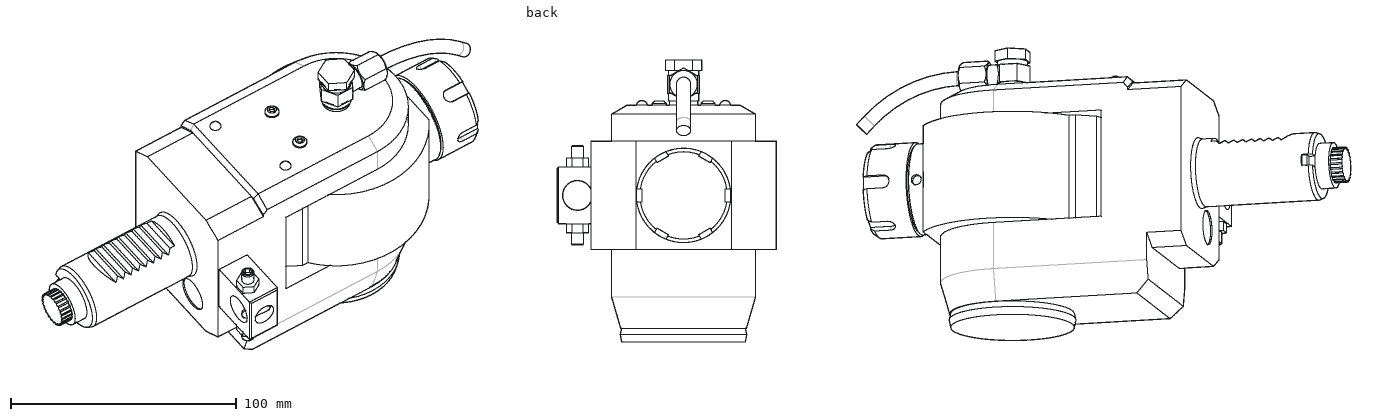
import cadquery as cq
import math


HOUSING_HALF_WIDTH = 32.0
HOUSING_TOP = 40.0
TOP_HALF_WIDTH = 25.0
TOP_CHAMFER_Z = 36.0
HOUSING_BOTTOM = -58.9
BOTTOM_HALF_WIDTH = 27.9
BOTTOM_TAPER_Z = -45.0
PLATE_REAR_Y = -59.5
BASE_REAR_Y = -70.3
BASE_CHAMFER = 5.6

JOINT_SIDE_Z = 33.7
JOINT_FLAT_HALF_WIDTH = 24.3

BLOCK_FRONT_Y = -61.5
BLOCK_REAR_Y = -86.0
BLOCK_HALF_HEIGHT = 37.5
BLOCK_SIDE_HALF_HEIGHT = 32.5
BLOCK_FLAT_HALF_WIDTH = 22.7
PLUG_X, PLUG_Z = 12.4, -22.0
PLUG_RADIUS = 7.6
PLUG_RECESS = 0.7

RING_BOTTOM = -65.0
RING_RADIUS = 27.5
RING_LIP_RADIUS = 28.0
RING_LIP_Z = -61.5

HEAD_HALF_HEIGHT = 24.0
HEAD_RADIUS = 41.1
HEAD_FRONT_Y = 35.3
HEAD_TAIL_RADIUS = 48.3
HEAD_TAIL_HALF_WIDTH = 25.0
TAIL_BEND_Y = -35.7
TAIL_ARC_Y = -44.0
SLOT_REAR_Y = -49.5

NOSE_RADIUS = 20.2
NOSE_END_Y = 42.2
NOSE_HOLE_Y = 38.6
NOSE_HOLE_RADIUS = 2.2
NOSE_HOLE_DEPTH = 2.2
NUT_NECK_RADIUS = 19.3
NUT_RADIUS = 21.0
NUT_REAR_Y = 43.1
NUT_FRONT_Y = 63.4
NUT_CHAMFER_LENGTH = 2.2
NUT_CHAMFER_DEPTH = 1.5
NUT_SLOTS = 6
NUT_SLOT_WIDTH = 5.8
NUT_SLOT_END_Y = 51.0
NUT_SLOT_FLOOR_RADIUS = 18.5

COLLAR_RADIUS = 15.7
COLLAR_END_Y = -88.0
SHANK_RADIUS = 15.0
SHANK_END_Y = -141.5
SHANK_CHAMFER_LENGTH = 1.8
SHANK_CHAMFER_DEPTH = 0.7
TANG_RADIUS = 10.0
TANG_END_Y = -147.8
PINION_RADIUS = 7.9
PINION_END_Y = -153.2
PINION_GROOVES = 24
PINION_GROOVE_RADIUS = 0.7

RACK_START_Y = -93.5
RACK_CREST_Z = 12.1
RACK_ROOT_Z = 10.5
RACK_FIRST_ROOT_Y = -98.0
RACK_PITCH = 4.0
RACK_ROOTS = 8
RACK_CLEARANCE = 2.2

KEY_WIDTH = 5.0
KEY_FLOOR_X = -9.9
KEY_START_Y = -138.8
KEY_STEP_X = -13.5
KEY_STEP_START_Y = -136.5

FITTING_TOP = 60.0
CAP_BOTTOM = 55.3
CAP_CORNER_RADIUS = 8.0
FITTING_RADIUS = 6.7
FITTING_FOOT_RADIUS = 6.3
FITTING_FOOT_TOP = 41.8
ELBOW_TOP = 53.0
ELBOW_BOTTOM = 45.2
ELBOW_CORNER_RADIUS = 8.0
HOSE_Z = 49.2
BRANCH_RADIUS = 5.2
HOSE_NUT_START_Y = 10.3
HOSE_NUT_END_Y = 23.4
HOSE_NUT_CORNER_RADIUS = 7.2
HOSE_NUT_ROUND_RADIUS = 6.0
HOSE_NUT_CHAMFER = 1.0
HOSE_RADIUS = 3.1
HOSE_BEND_Y = 25.0
HOSE_BEND_RADIUS = 57.5
HOSE_BEND_ANGLE = 45
HOSE_TIP_LENGTH = 5.2

SCREW_PLACES = [(-10.8, -27.2), (10.8, -27.2)]
SCREW_RADIUS = 3.1
SCREW_HEIGHT = 1.8
SCREW_CHAMFER = 1.1
SOCKET_DIAMETER = 2.7
SOCKET_DEPTH = 1.1
PIN_PLACES = [(18.5, -40.2), (-18.5, -52.3)]
PIN_RADIUS = 2.5
PIN_HEIGHT = 2.0

BRACKET_END_X = 56.0
BRACKET_FRONT_Y = -70.3
BRACKET_REAR_Y = -85.4
BRACKET_HALF_HEIGHT = 12.5
BRACKET_CHAMFER = 0.7
BRACKET_HOLE_X = 47.0
BRACKET_HOLE_RADIUS = 6.5
STUD_Y = -80.5
STUD_RADIUS = 2.7
STUD_HALF_LENGTH = 22.0
STUD_CHAMFER = 0.5
STUD_NUT_CORNER_RADIUS = 5.0
STUD_NUT_HEIGHT = 4.0
STUD_INNER_END = 7.2
STUD_SOCKET_CORNER_RADIUS = 1.8
STUD_SOCKET_DEPTH = 2.2
SIDE_HOLE_Y = -77.7
SIDE_HOLE_RADIUS = 5.0


def mirrored_prism(half_section, front_y, rear_y):
    """Extrude along Y an XZ section given by its +X half, listed from bottom to top."""
    other_half = [(-x, z) for x, z in reversed(half_section)]
    outline = cq.Workplane("XZ", origin=(0, front_y, 0)).polyline(half_section + other_half).close()
    return outline.extrude(front_y - rear_y)


def cylinder_y(radius, start_y, end_y, x=0, z=0):
    return cq.Workplane("XZ", origin=(x, start_y, z)).circle(radius).extrude(start_y - end_y)


def cylinder_z(radius, bottom, top, x=0, y=0):
    return cq.Workplane("XY", origin=(x, y, bottom)).circle(radius).extrude(top - bottom)


def hexagon_z(corner_radius, bottom, top, x=0, y=0, turn=0):
    """Hexagonal bar along Z with a corner on the X axis, turned about its axis by `turn` degrees."""
    bar = cq.Workplane("XY").polygon(6, 2 * corner_radius).extrude(top - bottom)
    return bar.rotate((0, 0, 0), (0, 0, 1), turn).translate((x, y, bottom))


def box_between(low, high):
    size = [b - a for a, b in zip(low, high)]
    return cq.Workplane("XY").box(*size, centered=False).translate(low)


def sloped_joint(upper):
    """Blend from the rear end of the top plate down to the top of the rear block."""
    joint_end = [(HOUSING_HALF_WIDTH, JOINT_SIDE_Z), (JOINT_FLAT_HALF_WIDTH, BLOCK_HALF_HEIGHT)]
    outlines = []
    for half_section in (upper, joint_end):
        half_section = [(HOUSING_HALF_WIDTH, 0)] + half_section
        outlines.append(half_section + [(-x, z) for x, z in reversed(half_section)])
    joint = cq.Workplane("XZ", origin=(0, PLATE_REAR_Y, 0)).polyline(outlines[0]).close()
    joint = joint.workplane(offset=PLATE_REAR_Y - BLOCK_FRONT_Y).polyline(outlines[1]).close()
    return joint.loft(ruled=True)


def make_housing():
    lower = [(BOTTOM_HALF_WIDTH, HOUSING_BOTTOM), (HOUSING_HALF_WIDTH, BOTTOM_TAPER_Z)]
    upper = [(HOUSING_HALF_WIDTH, TOP_CHAMFER_Z), (TOP_HALF_WIDTH, HOUSING_TOP)]
    section = lower + upper
    turned = [(0, HOUSING_BOTTOM)] + section + [(0, HOUSING_TOP)]
    housing = cq.Workplane("XZ").polyline(turned).close().revolve(360, (0, 0), (0, 1))
    housing = housing.union(mirrored_prism(section, 0, PLATE_REAR_Y))

    base = mirrored_prism(lower + [(HOUSING_HALF_WIDTH, 0)], 0, BASE_REAR_Y)
    base = base.faces("<Y").edges("<Z").chamfer(BASE_CHAMFER)
    block_section = [
        (BLOCK_FLAT_HALF_WIDTH, -BLOCK_HALF_HEIGHT),
        (HOUSING_HALF_WIDTH, -BLOCK_SIDE_HALF_HEIGHT),
        (HOUSING_HALF_WIDTH, BLOCK_SIDE_HALF_HEIGHT),
        (BLOCK_FLAT_HALF_WIDTH, BLOCK_HALF_HEIGHT),
    ]
    block = mirrored_prism(block_section, BLOCK_FRONT_Y, BLOCK_REAR_Y)
    plug = cylinder_y(PLUG_RADIUS, BLOCK_REAR_Y + PLUG_RECESS, BLOCK_REAR_Y, PLUG_X, PLUG_Z)

    ring_section = [
        (0, HOUSING_BOTTOM),
        (RING_RADIUS, HOUSING_BOTTOM),
        (RING_LIP_RADIUS, RING_LIP_Z),
        (RING_RADIUS, RING_BOTTOM),
        (0, RING_BOTTOM),
    ]
    ring = cq.Workplane("XZ").polyline(ring_section).close().revolve(360, (0, 0), (0, 1))
    housing = housing.union(base).union(sloped_joint(upper)).union(block).cut(plug).union(ring)

    reach = 2 * HOUSING_HALF_WIDTH
    head_slot = box_between((-reach, SLOT_REAR_Y, -HEAD_HALF_HEIGHT), (reach, reach, HEAD_HALF_HEIGHT))
    return housing.cut(head_slot)


def make_swivel_head():
    front_x = math.sqrt(HEAD_RADIUS**2 - HEAD_FRONT_Y**2)
    step_y = -math.sqrt(HEAD_RADIUS**2 - HEAD_TAIL_HALF_WIDTH**2)
    tail_x = math.sqrt(HEAD_TAIL_RADIUS**2 - TAIL_ARC_Y**2)
    outline = (
        cq.Workplane("XY", origin=(0, 0, -HEAD_HALF_HEIGHT))
        .moveTo(-front_x, HEAD_FRONT_Y)
        .lineTo(front_x, HEAD_FRONT_Y)
        .threePointArc((HEAD_RADIUS, 0), (HEAD_TAIL_HALF_WIDTH, step_y))
        .lineTo(HEAD_TAIL_HALF_WIDTH, TAIL_BEND_Y)
        .lineTo(tail_x, TAIL_ARC_Y)
        .threePointArc((0, -HEAD_TAIL_RADIUS), (-tail_x, TAIL_ARC_Y))
        .lineTo(-HEAD_TAIL_HALF_WIDTH, TAIL_BEND_Y)
        .lineTo(-HEAD_TAIL_HALF_WIDTH, step_y)
        .threePointArc((-HEAD_RADIUS, 0), (-front_x, HEAD_FRONT_Y))
        .close()
    )
    return outline.extrude(2 * HEAD_HALF_HEIGHT)


def make_spindle_nose():
    profile = [
        (0, HEAD_FRONT_Y),
        (NOSE_RADIUS, HEAD_FRONT_Y),
        (NOSE_RADIUS, NOSE_END_Y),
        (NUT_NECK_RADIUS, NOSE_END_Y),
        (NUT_NECK_RADIUS, NUT_REAR_Y),
        (NUT_RADIUS, NUT_REAR_Y),
        (NUT_RADIUS, NUT_FRONT_Y - NUT_CHAMFER_LENGTH),
        (NUT_RADIUS - NUT_CHAMFER_DEPTH, NUT_FRONT_Y),
        (0, NUT_FRONT_Y),
    ]
    nose = cq.Workplane("XY").polyline(profile).close().revolve(360, (0, 0), (0, 1))

    slot_half = NUT_SLOT_WIDTH / 2
    slot = (
        cq.Workplane("YZ", origin=(NUT_SLOT_FLOOR_RADIUS, 0, 0))
        .moveTo(NUT_FRONT_Y, -slot_half)
        .lineTo(NUT_SLOT_END_Y + slot_half, -slot_half)
        .threePointArc((NUT_SLOT_END_Y, 0), (NUT_SLOT_END_Y + slot_half, slot_half))
        .lineTo(NUT_FRONT_Y, slot_half)
        .close()
        .extrude(NUT_RADIUS)
    )
    for i in range(NUT_SLOTS):
        nose = nose.cut(slot.rotate((0, 0, 0), (0, 1, 0), i * 360 / NUT_SLOTS))

    wrench_hole = (
        cq.Workplane("YZ", origin=(-NOSE_RADIUS, NOSE_HOLE_Y, 0))
        .circle(NOSE_HOLE_RADIUS)
        .extrude(NOSE_HOLE_DEPTH)
    )
    return nose.cut(wrench_hole)


def make_shank():
    profile = [
        (0, BLOCK_REAR_Y),
        (COLLAR_RADIUS, BLOCK_REAR_Y),
        (SHANK_RADIUS, COLLAR_END_Y),
        (SHANK_RADIUS, SHANK_END_Y + SHANK_CHAMFER_LENGTH),
        (SHANK_RADIUS - SHANK_CHAMFER_DEPTH, SHANK_END_Y),
        (TANG_RADIUS, SHANK_END_Y),
        (TANG_RADIUS, TANG_END_Y),
        (PINION_RADIUS, TANG_END_Y),
        (PINION_RADIUS, PINION_END_Y),
        (0, PINION_END_Y),
    ]
    shank = cq.Workplane("XY").polyline(profile).close().revolve(360, (0, 0), (0, 1))
    shank = shank.cut(rack_cutter()).cut(key_cutter())

    grooves = (
        cq.Workplane("XZ", origin=(0, TANG_END_Y, 0))
        .polarArray(PINION_RADIUS, 0, 360, PINION_GROOVES)
        .circle(PINION_GROOVE_RADIUS)
        .extrude(TANG_END_Y - PINION_END_Y)
    )
    return shank.cut(grooves)


def rack_cutter():
    """Everything above the toothed flat, ending in a 45 degree run-out."""
    clear_z = SHANK_RADIUS + RACK_CLEARANCE
    last_root_y = RACK_FIRST_ROOT_Y - (RACK_ROOTS - 1) * RACK_PITCH
    points = [
        (RACK_START_Y, clear_z),
        (RACK_START_Y, RACK_CREST_Z),
        (RACK_FIRST_ROOT_Y + RACK_PITCH / 2, RACK_CREST_Z),
    ]
    for i in range(RACK_ROOTS - 1):
        root_y = RACK_FIRST_ROOT_Y - i * RACK_PITCH
        points.append((root_y, RACK_ROOT_Z))
        points.append((root_y - RACK_PITCH / 2, RACK_CREST_Z))
    points.append((last_root_y, RACK_ROOT_Z))
    points.append((last_root_y - (clear_z - RACK_ROOT_Z), clear_z))
    return cq.Workplane("YZ").polyline(points).close().extrude(SHANK_RADIUS, both=True)


def key_cutter():
    half = KEY_WIDTH / 2
    deep = box_between((-COLLAR_RADIUS, SHANK_END_Y, -half), (KEY_FLOOR_X, KEY_START_Y, half))
    step = box_between((-COLLAR_RADIUS, SHANK_END_Y, -half), (KEY_STEP_X, KEY_STEP_START_Y, half))
    return deep.union(step)


def make_coolant_fitting():
    foot = cylinder_z(FITTING_FOOT_RADIUS, HOUSING_TOP, FITTING_FOOT_TOP)
    post = cylinder_z(FITTING_RADIUS, FITTING_FOOT_TOP, CAP_BOTTOM)
    cap = hexagon_z(CAP_CORNER_RADIUS, CAP_BOTTOM, FITTING_TOP)
    elbow = hexagon_z(ELBOW_CORNER_RADIUS, ELBOW_BOTTOM, ELBOW_TOP, turn=30)
    branch = cylinder_y(BRANCH_RADIUS, HOSE_NUT_START_Y, 0, z=HOSE_Z)

    nut_length = HOSE_NUT_END_Y - HOSE_NUT_START_Y
    nut = hexagon_z(HOSE_NUT_CORNER_RADIUS, 0, nut_length)
    cone_drop = HOSE_NUT_CORNER_RADIUS - HOSE_NUT_ROUND_RADIUS
    trim = cylinder_z(HOSE_NUT_CORNER_RADIUS, 0, nut_length)
    trim = trim.faces("<Z or >Z").edges().chamfer(HOSE_NUT_CHAMFER, cone_drop)
    nut = nut.intersect(trim).rotate((0, 0, 0), (0, 1, 0), 90).rotate((0, 0, 0), (0, 0, 1), 90)
    nut = nut.translate((0, HOSE_NUT_START_Y, HOSE_Z))
    return foot.union(post).union(cap).union(elbow).union(branch).union(nut).union(make_hose())


def make_hose():
    def bend_point(angle):
        turn = math.radians(angle)
        y = HOSE_BEND_Y + HOSE_BEND_RADIUS * math.sin(turn)
        z = HOSE_Z - HOSE_BEND_RADIUS * (1 - math.cos(turn))
        return y, z

    bend_y, bend_z = bend_point(HOSE_BEND_ANGLE)
    slope = math.radians(HOSE_BEND_ANGLE)
    tip = (bend_y + HOSE_TIP_LENGTH * math.cos(slope), bend_z - HOSE_TIP_LENGTH * math.sin(slope))
    path = (
        cq.Workplane("YZ")
        .moveTo(HOSE_NUT_END_Y, HOSE_Z)
        .lineTo(HOSE_BEND_Y, HOSE_Z)
        .threePointArc(bend_point(HOSE_BEND_ANGLE / 2), (bend_y, bend_z))
        .lineTo(*tip)
    )
    return cq.Workplane("XZ", origin=(0, HOSE_NUT_END_Y, HOSE_Z)).circle(HOSE_RADIUS).sweep(path)


def make_plate_screws():
    top = HOUSING_TOP + SCREW_HEIGHT
    screw = cylinder_z(SCREW_RADIUS, HOUSING_TOP, top).faces(">Z").edges().chamfer(SCREW_CHAMFER)
    screw = screw.faces(">Z").workplane().polygon(6, SOCKET_DIAMETER).cutBlind(-SOCKET_DEPTH)
    cap_radius = (PIN_RADIUS**2 + PIN_HEIGHT**2) / (2 * PIN_HEIGHT)
    dome = cq.Workplane("XY", origin=(0, 0, HOUSING_TOP + PIN_HEIGHT - cap_radius)).sphere(cap_radius)
    dome = dome.intersect(cylinder_z(PIN_RADIUS, HOUSING_TOP, HOUSING_TOP + PIN_HEIGHT))

    parts = [screw.translate((x, y, 0)) for x, y in SCREW_PLACES]
    parts += [dome.translate((x, y, 0)) for x, y in PIN_PLACES]
    return parts


def make_bracket():
    bracket = box_between(
        (HOUSING_HALF_WIDTH, BRACKET_REAR_Y, -BRACKET_HALF_HEIGHT),
        (BRACKET_END_X, BRACKET_FRONT_Y, BRACKET_HALF_HEIGHT),
    )
    bracket = bracket.faces(">X").edges().chamfer(BRACKET_CHAMFER)

    nut_top = BRACKET_HALF_HEIGHT + STUD_NUT_HEIGHT
    stud = cylinder_z(STUD_RADIUS, -STUD_HALF_LENGTH, STUD_HALF_LENGTH, BRACKET_HOLE_X, STUD_Y)
    stud = stud.edges().chamfer(STUD_CHAMFER)
    socket_floor = STUD_HALF_LENGTH - STUD_SOCKET_DEPTH
    stud = stud.cut(
        hexagon_z(STUD_SOCKET_CORNER_RADIUS, socket_floor, STUD_HALF_LENGTH, BRACKET_HOLE_X, STUD_Y)
    )
    bracket = bracket.union(stud)
    for bottom, top in ((BRACKET_HALF_HEIGHT, nut_top), (-nut_top, -BRACKET_HALF_HEIGHT)):
        bracket = bracket.union(hexagon_z(STUD_NUT_CORNER_RADIUS, bottom, top, BRACKET_HOLE_X, STUD_Y))
    hole = cylinder_y(BRACKET_HOLE_RADIUS, BRACKET_FRONT_Y, BRACKET_REAR_Y, BRACKET_HOLE_X)
    stud_gap = cylinder_z(STUD_RADIUS, -STUD_INNER_END, STUD_INNER_END, BRACKET_HOLE_X, STUD_Y)
    side_hole = (
        cq.Workplane("YZ", origin=(BRACKET_HOLE_X, SIDE_HOLE_Y, 0))
        .circle(SIDE_HOLE_RADIUS)
        .extrude(BRACKET_END_X - BRACKET_HOLE_X)
    )
    return bracket.cut(hole).cut(stud_gap).cut(side_hole)


result = make_housing().union(make_swivel_head())
for part in [make_spindle_nose(), make_shank(), make_coolant_fitting(), make_bracket()]:
    result = result.union(part)
for part in make_plate_screws():
    result = result.union(part)